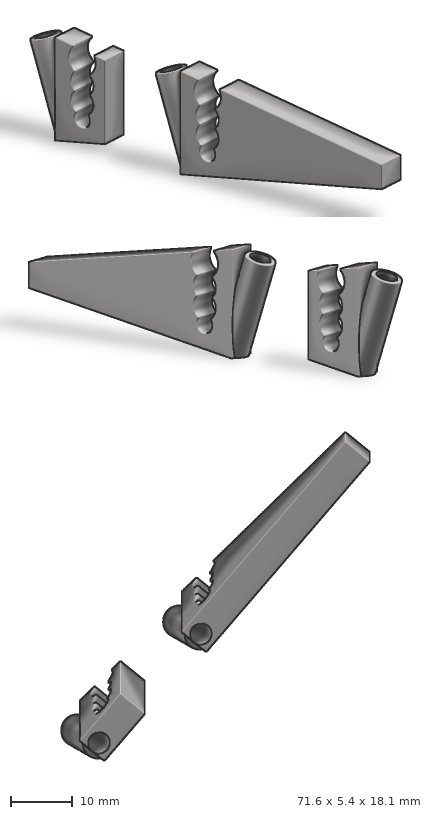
import cadquery as cq
import math

thickness = 5.4
root_height = 18.1
tip_height = 4.4
taper_length = 40.4
short_length = 10.1
long_length = taper_length
edge_round = 0.18
body_pitch = 25.1

tube_diameter = 5.2
bore_diameter = 3.5
lip_round = 0.18
tube_tilt = 18.5
tube_top_x = -3.7
tube_top_z = 16.7

notch_x = 5.5
notch_seats = [(5.2, 15.3), (4.4, 11.3), (4.4, 7.95), (3.0, 5.1)]


def make_notch():
    """Cutter for the row of overlapping round seats."""
    notch = cq.Workplane("XZ")
    for diameter, height in notch_seats:
        seat = cq.Workplane("XZ").center(notch_x, height).circle(diameter / 2)
        notch = notch.add(seat.extrude(thickness, both=True))
    return notch.combine()


def make_plate(length):
    """Notched wedge plate, all edges rounded, left face at X = 0, lowest corner at Z = 0."""
    drop = (root_height - tip_height) / 2 * length / taper_length
    outline = [(0, 0), (length, drop), (length, root_height - drop), (0, root_height)]
    wedge = cq.Workplane("XZ").polyline(outline).close().extrude(thickness / 2, both=True)
    return wedge.cut(make_notch()).edges().fillet(edge_round)


def make_tilted_cylinder(diameter):
    """Cylinder running down from the tube's open end to below Z = 0."""
    tilt = math.radians(tube_tilt)
    down = cq.Vector(math.sin(tilt), 0, -math.cos(tilt))
    length = (tube_top_z + diameter) / math.cos(tilt)
    top_centre = cq.Vector(tube_top_x, 0, tube_top_z)
    return cq.Workplane(obj=cq.Solid.makeCylinder(diameter / 2, length, top_centre, down))


def make_tube():
    """Tube with a rounded outer rim, cut flat at Z = 0 and by the plate's left face."""
    space = cq.Workplane().box(root_height, thickness, root_height, centered=(False, True, False))
    tube = make_tilted_cylinder(tube_diameter).faces(">Z").edges().fillet(lip_round)
    tube = tube.cut(make_tilted_cylinder(bore_diameter))
    return tube.intersect(space.translate((-root_height, 0, 0)))


def make_clip(length):
    """Notched plate joined to its tube, with the bore running on into the plate."""
    return make_plate(length).cut(make_tilted_cylinder(bore_diameter)).union(make_tube())


short_clip = make_clip(short_length)
long_clip = make_clip(long_length).translate((body_pitch, 0, 0))

result = cq.Compound.makeCompound([short_clip.val(), long_clip.val()])